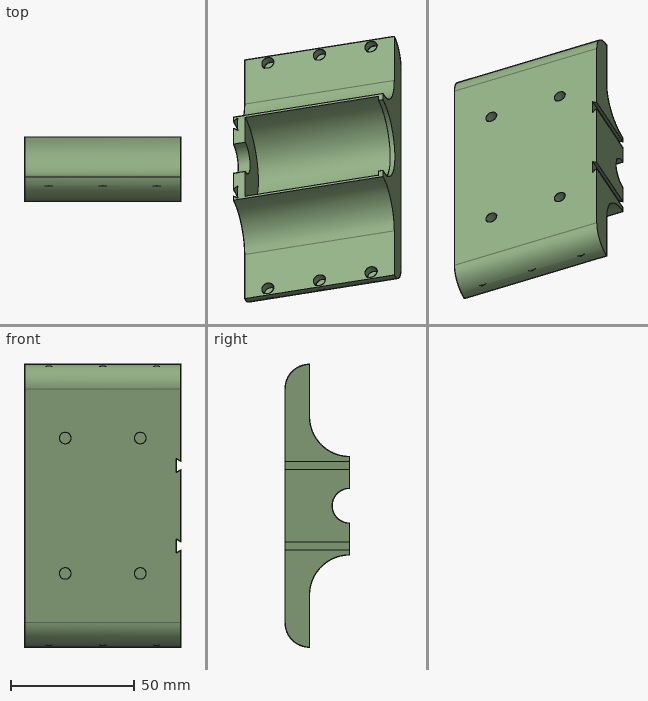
import cadquery as cq
import math

length = 63.3
depth = 26.2
height = 114.8
plate_thickness = 10.0
edge_radius = plate_thickness
saddle_height = 40.0

bore_radius = 17.0
shaft_radius = 7.0
end_wall = 5.0

chamber_radius = 18.9
lip_thickness = 2.0

front_hole_diameter = 4.7
front_hole_depth = 5.0
front_hole_spacing_x = 30.4
front_hole_spacing_z = 54.9

pocket_diameter = 5.0
pocket_depth = 3.7
pocket_spacing = 21.8
pocket_breakthrough = 0.03

groove_spacing = 32.6
groove_depth = 1.8
groove_mouth = 3.3
groove_base = 5.6

front_y = -depth / 2
back_y = depth / 2
plate_back_y = front_y + plate_thickness
end_x = length / 2


def make_body():
    """Plate with rounded front edges and a saddle flared into its back, swept along X."""
    top = height / 2
    saddle_top = saddle_height / 2
    flare = back_y - plate_back_y
    flare_start = saddle_top + flare
    diagonal = math.sqrt(0.5)
    edge_mid = (plate_back_y - edge_radius * diagonal, top - edge_radius * (1 - diagonal))
    flare_mid = (back_y - flare * diagonal, flare_start - flare * diagonal)
    return (
        cq.Workplane("YZ")
        .workplane(offset=-end_x)
        .moveTo(front_y, -top + edge_radius)
        .lineTo(front_y, top - edge_radius)
        .threePointArc(edge_mid, (plate_back_y, top))
        .lineTo(plate_back_y, flare_start)
        .threePointArc(flare_mid, (back_y, saddle_top))
        .lineTo(back_y, -saddle_top)
        .threePointArc((flare_mid[0], -flare_mid[1]), (plate_back_y, -flare_start))
        .lineTo(plate_back_y, -top)
        .threePointArc((edge_mid[0], -edge_mid[1]), (front_y, -top + edge_radius))
        .close()
        .extrude(length)
    )


def make_bore():
    """Bore from the -X end widening into a chamber, and a narrow shaft opening through the end wall."""
    start = cq.Workplane("YZ", origin=(-end_x, back_y, 0))
    wide = start.circle(bore_radius).extrude(length - end_wall)
    narrow = start.circle(shaft_radius).extrude(length)
    chamber_length = length - end_wall - lip_thickness
    chamber = start.workplane(offset=lip_thickness).circle(chamber_radius).extrude(chamber_length)
    return wide.union(chamber).union(narrow)


def make_front_holes():
    return (
        cq.Workplane("XZ", origin=(0, front_y, 0))
        .rarray(front_hole_spacing_x, front_hole_spacing_z, 2, 2)
        .circle(front_hole_diameter / 2)
        .extrude(-front_hole_depth)
    )


def make_back_pockets():
    """Two rows of pockets whose floors reach slightly past the rounded edges."""
    edge_rise = math.sqrt(edge_radius**2 - pocket_depth**2)
    edge_z_at_floor = height / 2 - edge_radius + edge_rise
    row_z = edge_z_at_floor + pocket_breakthrough - pocket_diameter / 2
    return (
        cq.Workplane("XZ", origin=(0, plate_back_y, 0))
        .rarray(pocket_spacing, 2 * row_z, 3, 2)
        .circle(pocket_diameter / 2)
        .extrude(pocket_depth)
    )


def make_groove(center_z):
    """Dovetail groove along Y, wider inside than at its mouth."""
    return (
        cq.Workplane("XZ", origin=(end_x, front_y, center_z))
        .moveTo(0, -groove_mouth / 2)
        .lineTo(0, groove_mouth / 2)
        .lineTo(-groove_depth, groove_base / 2)
        .lineTo(-groove_depth, -groove_base / 2)
        .close()
        .extrude(-depth)
    )


result = make_body().cut(make_bore()).cut(make_front_holes()).cut(make_back_pockets())
for side in (-1, 1):
    result = result.cut(make_groove(side * groove_spacing / 2))